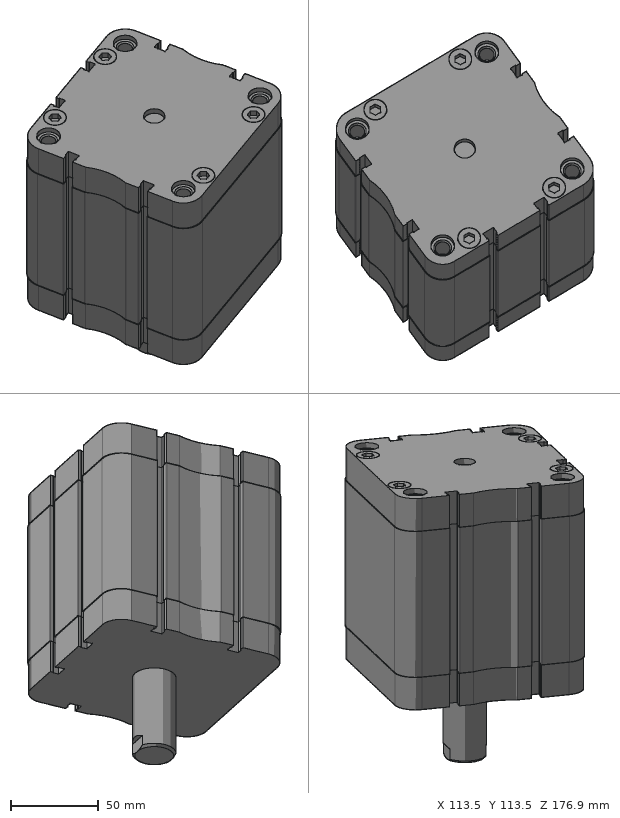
import cadquery as cq
import math


CAP_HEIGHT = 19.6
BARREL_HEIGHT = 87.6
ROD_STICKOUT = 50.1

BARREL_SIDE = 113.5
CAP_SIDE = 112.5
BARREL_CORNER_RADIUS = 12.4
CAP_CORNER_RADIUS = 12.2

HOLLOW_FLOOR_Y = 54.0
BARREL_HOLLOW_HALF_WIDTH = 13.5
CAP_HOLLOW_HALF_WIDTH = 13.1

CAP_SLOT_OPENING = 6.0
BARREL_SLOT_OPENING = 5.5
SLOT_CAVITY_WIDTH = 7.0
Y_SLOT_CENTRE = 24.6
Y_SLOT_LIP = 53.3
Y_SLOT_FLOOR = 49.7
X_SLOT_CENTRE = 17.3
X_SLOT_LIP = 54.3
X_SLOT_FLOOR = 50.6

SLOT_EDGE_RADIUS = 0.4
HOLLOW_EDGE_RADIUS = 1.0

MOUNT_OFFSET = 44.2
MOUNT_BORE_DIAMETER = 13.5
MOUNT_BORE_DEPTH = 3.2
MOUNT_MOUTH_DIAMETER = 10.1
MOUNT_HOLE_DIAMETER = 8.3

SCREW_X = 48.7
SCREW_Y = 29.0
SCREW_SEAT_DIAMETER = 13.1
SCREW_HEAD_DIAMETER = 12.7
SCREW_HEAD_HEIGHT = 6.0
SOCKET_FLATS = 6.0
SOCKET_DEPTH = 3.5

CENTRE_DIAMETER = 12.0
CENTRE_DEPTH = 3.5

ROD_DIAMETER = 25.0
ROD_CHAMFER = 1.5
FLATS_WIDTH = 21.8
FLATS_HEIGHT = 7.5

TOP_Z = 2 * CAP_HEIGHT + BARREL_HEIGHT


def prism(x_min, x_max, y_min, y_max, height):
    """Upright block between the given X and Y limits, standing on Z = 0."""
    return (
        cq.Workplane("XY")
        .center((x_min + x_max) / 2, (y_min + y_max) / 2)
        .rect(x_max - x_min, y_max - y_min)
        .extrude(height)
    )


def y_side_slot(side, opening_width, height):
    """T-slot in the +Y side, right of the middle."""
    opening = prism(
        Y_SLOT_CENTRE - opening_width / 2, Y_SLOT_CENTRE + opening_width / 2, Y_SLOT_FLOOR, side, height
    )
    cavity = prism(
        Y_SLOT_CENTRE - SLOT_CAVITY_WIDTH / 2,
        Y_SLOT_CENTRE + SLOT_CAVITY_WIDTH / 2,
        Y_SLOT_FLOOR,
        Y_SLOT_LIP,
        height,
    )
    return opening.union(cavity)


def x_side_slot(side, opening_width, height):
    """T-slot in the -X side, on the +Y half."""
    opening = prism(
        -side, -X_SLOT_FLOOR, X_SLOT_CENTRE - opening_width / 2, X_SLOT_CENTRE + opening_width / 2, height
    )
    cavity = prism(
        -X_SLOT_LIP,
        -X_SLOT_FLOOR,
        X_SLOT_CENTRE - SLOT_CAVITY_WIDTH / 2,
        X_SLOT_CENTRE + SLOT_CAVITY_WIDTH / 2,
        height,
    )
    return opening.union(cavity)


def hollow(side, half_width, height):
    """Round hollow along the middle of the +Y side."""
    face_y = side / 2
    return (
        cq.Workplane("XY")
        .moveTo(-half_width, face_y)
        .threePointArc((0, HOLLOW_FLOOR_Y), (half_width, face_y))
        .close()
        .extrude(height)
    )


def slotted_block(side, corner_radius, hollow_half_width, slot_opening, height):
    """Rounded square block with the side hollows and all six T-slots."""
    block = cq.Workplane("XY").rect(side, side).extrude(height).edges("|Z").fillet(corner_radius)
    right_slot = y_side_slot(side, slot_opening, height)
    back_features = hollow(side, hollow_half_width, height).union(right_slot).union(right_slot.mirror("YZ"))
    left_slot = x_side_slot(side, slot_opening, height)
    block = block.cut(back_features).cut(back_features.mirror("XZ"))
    return block.cut(left_slot).cut(left_slot.mirror("XZ"))


def cap_block():
    return slotted_block(CAP_SIDE, CAP_CORNER_RADIUS, CAP_HOLLOW_HALF_WIDTH, CAP_SLOT_OPENING, CAP_HEIGHT)


def four_points(x, y):
    return [(x, y), (-x, y), (-x, -y), (x, -y)]


def round_long_edges(block, points, radius, height):
    """Round the vertical edges of a block that pass through the given (x, y) points."""
    for x, y in points:
        edge = cq.NearestToPointSelector((x, y, height / 2))
        block = block.edges("|Z").edges(edge).fillet(radius)
    return block


def make_barrel():
    barrel = slotted_block(
        BARREL_SIDE, BARREL_CORNER_RADIUS, BARREL_HOLLOW_HALF_WIDTH, BARREL_SLOT_OPENING, BARREL_HEIGHT
    )
    face = BARREL_SIDE / 2
    slot_edges = []
    for edge_shift in (-BARREL_SLOT_OPENING / 2, BARREL_SLOT_OPENING / 2):
        slot_edges += four_points(Y_SLOT_CENTRE + edge_shift, face)
        slot_edges += [(-face, X_SLOT_CENTRE + edge_shift), (-face, -X_SLOT_CENTRE - edge_shift)]
    hollow_edges = four_points(BARREL_HOLLOW_HALF_WIDTH, face)
    barrel = round_long_edges(barrel, slot_edges, SLOT_EDGE_RADIUS, BARREL_HEIGHT)
    barrel = round_long_edges(barrel, hollow_edges, HOLLOW_EDGE_RADIUS, BARREL_HEIGHT)
    return barrel.translate((0, 0, CAP_HEIGHT))


def make_bottom_cap():
    rod_hole = cq.Workplane("XY").circle(ROD_DIAMETER / 2).extrude(CAP_HEIGHT)
    return cap_block().cut(rod_hole)


def make_top_cap():
    cap = cap_block().translate((0, 0, TOP_Z - CAP_HEIGHT))
    top = cq.Workplane("XY").workplane(offset=TOP_Z)

    mount_points = four_points(MOUNT_OFFSET, MOUNT_OFFSET)
    mouth_chamfer = (MOUNT_MOUTH_DIAMETER - MOUNT_HOLE_DIAMETER) / 2
    bore_floor = cq.Workplane("XY").workplane(offset=TOP_Z - MOUNT_BORE_DEPTH).pushPoints(mount_points)
    mouths = bore_floor.circle(MOUNT_MOUTH_DIAMETER / 2).extrude(-mouth_chamfer, taper=45)
    holes = top.pushPoints(mount_points).circle(MOUNT_HOLE_DIAMETER / 2).extrude(-CAP_HEIGHT)
    bores = top.pushPoints(mount_points).circle(MOUNT_BORE_DIAMETER / 2).extrude(-MOUNT_BORE_DEPTH)
    cap = cap.cut(bores).cut(mouths).cut(holes)

    screws = top.pushPoints(four_points(SCREW_X, SCREW_Y))
    grooves = (
        screws.circle(SCREW_SEAT_DIAMETER / 2).circle(SCREW_HEAD_DIAMETER / 2).extrude(-SCREW_HEAD_HEIGHT)
    )
    cap = cap.cut(grooves)
    socket_corner_diameter = SOCKET_FLATS / math.cos(math.pi / 6)
    for x, y in four_points(SCREW_X, SCREW_Y):
        socket = cq.Workplane("XY").polygon(6, socket_corner_diameter).extrude(SOCKET_DEPTH)
        socket = socket.rotate((0, 0, 0), (0, 0, 1), 90)
        cap = cap.cut(socket.translate((x, y, TOP_Z - SOCKET_DEPTH)))

    return cap.cut(top.circle(CENTRE_DIAMETER / 2).extrude(-CENTRE_DEPTH))


def make_rod():
    rod = (
        cq.Workplane("XY")
        .workplane(offset=-ROD_STICKOUT)
        .circle(ROD_DIAMETER / 2)
        .extrude(ROD_STICKOUT + CAP_HEIGHT)
        .faces("<Z")
        .chamfer(ROD_CHAMFER)
    )

    flat_x = FLATS_WIDTH / 2
    flat_top = FLATS_HEIGHT - ROD_STICKOUT
    flat = (
        cq.Workplane("XZ")
        .moveTo(flat_x, -ROD_STICKOUT)
        .lineTo(flat_x, flat_top)
        .lineTo(ROD_DIAMETER, flat_top + ROD_DIAMETER - flat_x)
        .lineTo(ROD_DIAMETER, -ROD_STICKOUT)
        .close()
        .extrude(ROD_DIAMETER, both=True)
    )
    return rod.cut(flat).cut(flat.mirror("YZ"))


barrel = make_barrel()
bottom_cap = make_bottom_cap()
top_cap = make_top_cap()
rod = make_rod()

result = cq.Compound.makeCompound([barrel.val(), bottom_cap.val(), top_cap.val(), rod.val()])